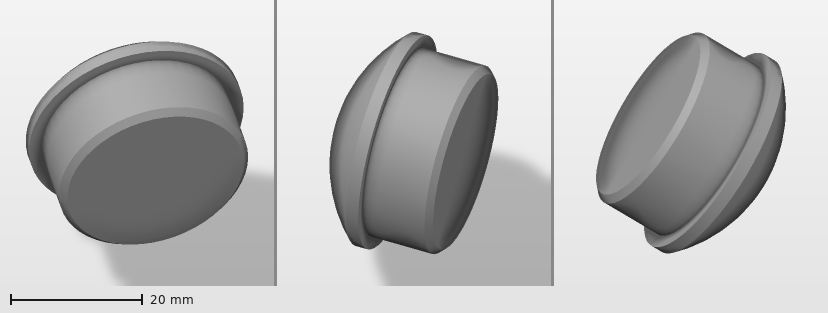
import cadquery as cq
import math

rim_radius = 16.85
rim_thickness = 2.0
dome_height = 7.5
plug_diameter = 29.7
plug_length = 11.0
chamfer_size = 1.0

plug_radius = plug_diameter / 2
dome_base_x = -rim_thickness
apex_x = dome_base_x - dome_height

sphere_radius = (rim_radius**2 + dome_height**2) / (2 * dome_height)
half_angle = math.asin(rim_radius / sphere_radius) / 2
dome_mid_point = (
    apex_x + sphere_radius * (1 - math.cos(half_angle)),
    sphere_radius * math.sin(half_angle),
)

half_section = (
    cq.Workplane("XY")
    .moveTo(apex_x, 0)
    .threePointArc(dome_mid_point, (dome_base_x, rim_radius))
    .lineTo(0, rim_radius)
    .lineTo(0, plug_radius)
    .lineTo(plug_length - chamfer_size, plug_radius)
    .lineTo(plug_length, plug_radius - chamfer_size)
    .lineTo(plug_length, 0)
    .close()
)

result = half_section.revolve(360, (0, 0, 0), (1, 0, 0))